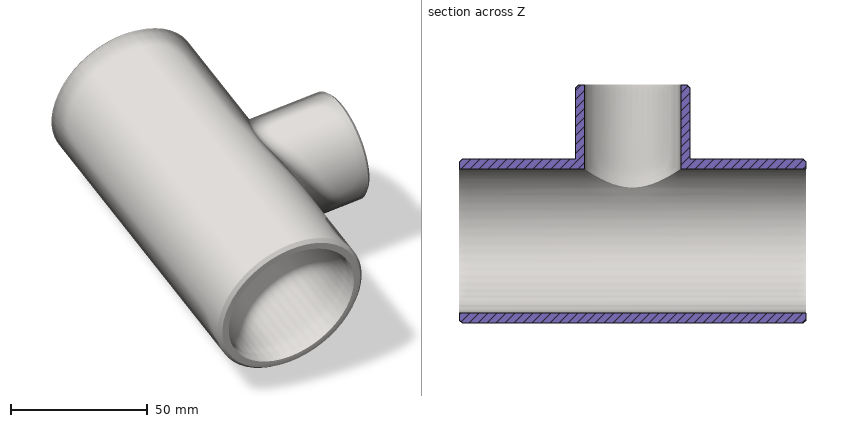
import cadquery as cq

run_length = 127.0
run_diameter = 60.3
run_wall = 4.0
branch_diameter = 42.2
branch_wall = 3.5
branch_reach = 57.2
end_bevel = 1.3


def run_cylinder(diameter):
    """Cylinder along X over the full run, centred on the origin."""
    return cq.Workplane("YZ").circle(diameter / 2).extrude(run_length / 2, both=True)


def branch_cylinder(diameter):
    """Cylinder along +Y from the run axis to the branch end."""
    return cq.Workplane("XZ").circle(diameter / 2).extrude(-branch_reach)


run = run_cylinder(run_diameter).faces("<X or >X").chamfer(end_bevel)
branch = branch_cylinder(branch_diameter).faces(">Y").chamfer(end_bevel)

run_bore = run_cylinder(run_diameter - 2 * run_wall)
branch_bore = branch_cylinder(branch_diameter - 2 * branch_wall)

result = run.union(branch).cut(run_bore).cut(branch_bore)